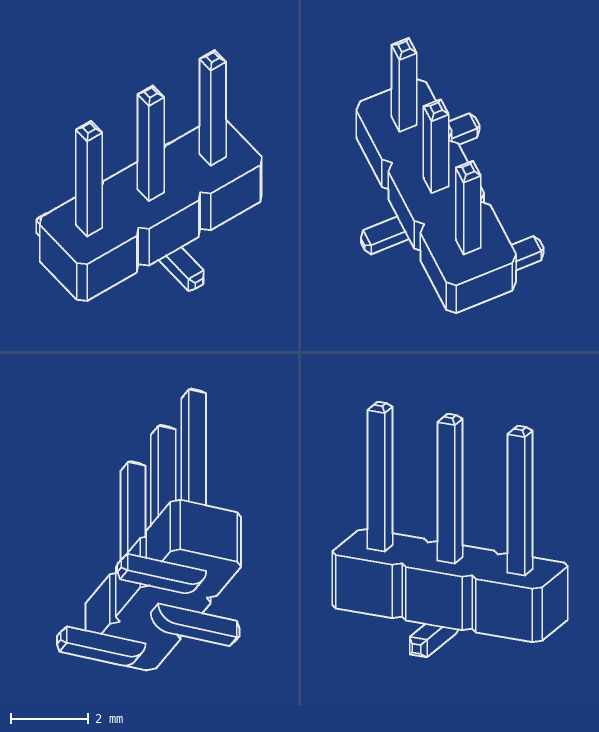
import cadquery as cq

pin_count = 3
total_length = 6.0
pitch = total_length / pin_count
housing_width = pitch
housing_height = 1.5
corner_chamfer = 0.2

pin_size = 0.5
pin_height = 6.0
foot_reach = 2.1
tip_chamfer = 0.125
bend_radius = pin_size


def make_housing_cell(y):
    """One housing segment with chamfered vertical edges, resting on the feet."""
    return (
        cq.Workplane("XY", origin=(0, y, pin_size))
        .rect(housing_width, pitch)
        .extrude(housing_height)
        .edges("|Z")
        .chamfer(corner_chamfer)
    )


def make_pin(y, side):
    """A pin at y whose foot points along +X (side = 1) or -X (side = -1)."""
    half = pin_size / 2
    pin = cq.Workplane("XY").box(pin_size, pin_size, pin_height, centered=(True, True, False))
    pin = pin.faces(">Z").edges().chamfer(tip_chamfer)
    foot = cq.Workplane("XY").box(foot_reach + half, pin_size, pin_size, centered=(False, True, False))
    foot = foot.translate((-half, 0, 0))
    foot = foot.faces(">X").edges().chamfer(tip_chamfer)

    bend_cutter = (
        cq.Workplane("XZ", origin=(0, half, 0))
        .moveTo(-half, 0)
        .lineTo(-half, bend_radius)
        .radiusArc((bend_radius - half, 0), -bend_radius)
        .close()
        .extrude(pin_size)
    )
    pin = pin.union(foot).cut(bend_cutter)
    if side < 0:
        pin = pin.mirror("YZ")
    return pin.translate((0, y, 0))


result = cq.Workplane("XY")
for index in range(pin_count):
    pin_y = (index - (pin_count - 1) / 2) * pitch
    foot_side = 1 if index % 2 else -1
    result = result.union(make_housing_cell(pin_y)).union(make_pin(pin_y, foot_side))